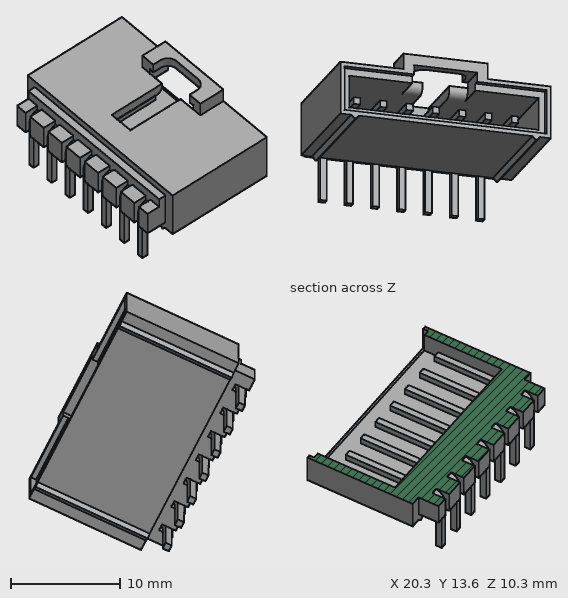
import cadquery as cq
import math


shroud_width = 20.32
shroud_length = 11.43
overall_length = 13.59
shroud_height = 5.08
side_wall = 1.016
roof_thickness = 1.07
floor_thickness = 0.889
mouth_step_depth = 0.52
mouth_lip = 0.40

bridge_width = 8.128
bridge_depth = 2.794
bridge_rise = 1.524
bridge_thickness = 1.016
bridge_leg = 1.016
window_width = 5.08
window_corner_radius = 1.016
window_margin = 0.89
slot_width = 2.59
slot_length = 6.096
roof_edge_radius = 0.70

carrier_width = shroud_width - 2 * side_wall
carrier_inset = 0.762
ledge_depth = 0.762
carrier_depth = overall_length - shroud_length
tooth_drop = 1.75

pin_count = 7
pin_pitch = 2.54
pin_size = 0.635
pin_top = (shroud_height + pin_size) / 2
pin_bend_radius = 2 * pin_size
tail_front = -1.75
tail_drop = 3.686

ridge_offset = 8.74
ridge_half_width = 0.381
ridge_depth = 0.381

roof_front = shroud_length - bridge_depth
cavity_back = roof_front - slot_length
notch_width = bridge_width - 2 * bridge_leg
roof_underside = shroud_height - roof_thickness
bridge_top = shroud_height + bridge_rise


def block(width, y_start, y_end, z_start, z_end, x_center=0.0):
    """Box of the given width, centred on x_center and spanning the y and z ranges."""
    depth = y_end - y_start
    height = z_end - z_start
    box = cq.Workplane("XY").box(width, depth, height, centered=(True, False, False))
    return box.translate((x_center, y_start, z_start))


def profile_along_x(outline, width):
    """Extrude a closed YZ outline symmetrically about x = 0."""
    return outline.close().extrude(width / 2, both=True)


def shroud():
    """Open-mouthed housing with a stepped mouth, roof notch and slot."""
    body = block(shroud_width, 0, shroud_length, 0, shroud_height)
    cavity = block(carrier_width, cavity_back, shroud_length, floor_thickness, roof_underside)
    mouth = block(
        shroud_width - 2 * mouth_lip,
        shroud_length - mouth_step_depth,
        shroud_length,
        mouth_lip,
        shroud_height - mouth_lip,
    )
    notch = block(notch_width, roof_front, shroud_length, floor_thickness, shroud_height)
    slot = block(slot_width, cavity_back, roof_front, floor_thickness, shroud_height)
    return body.cut(cavity).cut(mouth).cut(notch).cut(slot).cut(roof_edge_round())


def roof_edge_round():
    """Material removed to round the lower front edge of the roof along the notch."""
    radius = roof_edge_radius
    diagonal = radius * math.sqrt(0.5)
    center_y = roof_front - radius
    center_z = roof_underside + radius
    outline = (
        cq.Workplane("YZ")
        .moveTo(roof_front, center_z)
        .threePointArc(
            (center_y + diagonal, center_z - diagonal),
            (center_y, roof_underside),
        )
        .lineTo(roof_front, roof_underside)
    )
    return profile_along_x(outline, notch_width)


def latch_bridge():
    """Raised bridge on two legs, with a round-cornered window open toward -Y."""
    bridge = block(bridge_width, roof_front, shroud_length, shroud_height, bridge_top)
    gap = block(notch_width, roof_front, shroud_length, shroud_height, bridge_top - bridge_thickness)
    window_end = shroud_length - window_margin
    window = block(window_width, roof_front, window_end, shroud_height, bridge_top)
    window = window.edges("|Z and >Y").fillet(window_corner_radius)
    return bridge.cut(gap).cut(window)


def carrier():
    """Rear ledge and teeth, with one gap per pin."""
    bottom = carrier_inset
    body = block(carrier_width, -ledge_depth, 0, bottom, shroud_height - carrier_inset)
    teeth = block(carrier_width, -carrier_depth, -ledge_depth, bottom, shroud_height - tooth_drop)
    for x in pin_positions():
        teeth = teeth.cut(block(pin_size, -carrier_depth, -ledge_depth, bottom, shroud_height, x))
    return body.union(teeth)


def pin_positions():
    first = -pin_pitch * (pin_count - 1) / 2
    return [first + index * pin_pitch for index in range(pin_count)]


def pin():
    """Square right-angle pin with a concentric bend, centred on x = 0."""
    outer = pin_bend_radius
    inner = pin_bend_radius - pin_size
    bend_y = tail_front + outer
    bend_z = pin_top - outer
    diagonal = math.sqrt(0.5)
    outline = (
        cq.Workplane("YZ")
        .moveTo(roof_front, pin_top)
        .lineTo(bend_y, pin_top)
        .threePointArc((bend_y - outer * diagonal, bend_z + outer * diagonal), (tail_front, bend_z))
        .lineTo(tail_front, -tail_drop)
        .lineTo(tail_front + pin_size, -tail_drop)
        .lineTo(tail_front + pin_size, bend_z)
        .threePointArc(
            (bend_y - inner * diagonal, bend_z + inner * diagonal),
            (bend_y, pin_top - pin_size),
        )
        .lineTo(roof_front, pin_top - pin_size)
    )
    return profile_along_x(outline, pin_size)


def ridge(x_center):
    """V-shaped ridge under the floor, running the length of the shroud."""
    outline = (
        cq.Workplane("XZ")
        .moveTo(x_center - ridge_half_width, 0)
        .lineTo(x_center, -ridge_depth)
        .lineTo(x_center + ridge_half_width, 0)
        .close()
    )
    return outline.extrude(-shroud_length)


result = shroud().union(latch_bridge()).union(carrier())
for side in (-1, 1):
    result = result.union(ridge(side * ridge_offset))
for x in pin_positions():
    result = result.union(pin().translate((x, 0, 0)))